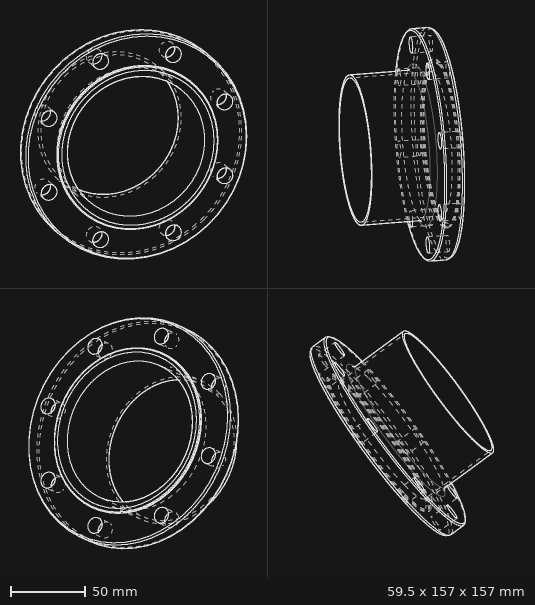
import cadquery as cq
import math

total_length = 59.5
flange_thickness = 13.8
raised_face_height = 1.5

bore_diameter = 97.3
pipe_diameter = 101.6
raised_face_diameter = 114.1
flange_diameter = 157.0

neck_fillet = 4.1
front_chamfer = 1.1
back_chamfer_length = 1.9
back_chamfer_depth = 1.1
raised_face_chamfer = 0.6
bore_chamfer_length = 3.8
bore_chamfer_depth = 5.3

bolt_count = 8
bolt_hole_diameter = 11.0
bolt_circle_diameter = 135.0

bore_radius = bore_diameter / 2
pipe_radius = pipe_diameter / 2
raised_face_radius = raised_face_diameter / 2
flange_radius = flange_diameter / 2
flange_back = total_length - raised_face_height
flange_front = flange_back - flange_thickness


def make_body():
    """Revolve the half section (X along the axis, Y as radius) about the X axis."""
    arc_offset = neck_fillet * (1 - math.sqrt(0.5))
    section = (
        cq.Workplane("XY")
        .moveTo(0, bore_radius)
        .lineTo(0, pipe_radius)
        .lineTo(flange_front - neck_fillet, pipe_radius)
        .threePointArc(
            (flange_front - arc_offset, pipe_radius + arc_offset),
            (flange_front, pipe_radius + neck_fillet),
        )
        .lineTo(flange_front, flange_radius - front_chamfer)
        .lineTo(flange_front + front_chamfer, flange_radius)
        .lineTo(flange_back - back_chamfer_length, flange_radius)
        .lineTo(flange_back, flange_radius - back_chamfer_depth)
        .lineTo(flange_back, raised_face_radius)
        .lineTo(total_length - raised_face_chamfer, raised_face_radius)
        .lineTo(total_length, raised_face_radius - raised_face_chamfer)
        .lineTo(total_length, bore_radius + bore_chamfer_depth)
        .lineTo(total_length - bore_chamfer_length, bore_radius)
        .close()
    )
    return section.revolve(360, (0, 0, 0), (1, 0, 0))


def make_bolt_holes():
    """Cylinders through the flange, with the first half a pitch from the Y axis."""
    pitch_angle = 360 / bolt_count
    return (
        cq.Workplane("YZ", origin=(flange_front, 0, 0))
        .polarArray(bolt_circle_diameter / 2, pitch_angle / 2, 360, bolt_count)
        .circle(bolt_hole_diameter / 2)
        .extrude(flange_thickness)
    )


result = make_body().cut(make_bolt_holes())